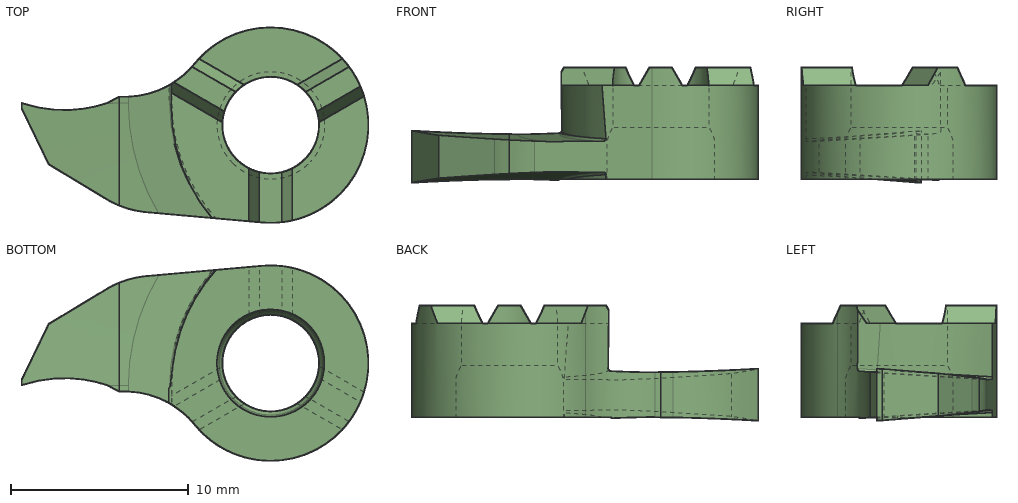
import cadquery as cq
import math

HEAD_TOP = 5.28
TOOTH_TOP = 6.3
ARM_MID_Z = 1.277
STOCK_BOTTOM = -0.58

HEAD_RADIUS = 5.5
BORE_RADIUS = 2.71
SEAT_RADIUS = 3.02
SEAT_TOP = 2.2
SEAT_MID_RADIUS = 2.9
SEAT_MID_Z = 2.57
SEAT_CONE_TOP = 2.95

TOOTH_ANGLES = (30, 150, 270)
TOOTH_ROOT_WIDTH = 2.44
TOOTH_TIP_WIDTH = 1.27

TANGENT_ANGLE = 264.9
NECK_ANGLE = 141.0
NECK_RADIUS = 5.01
FLANK_END_X = -7.12
FLANK_ARC_RADIUS = 5.2
FLANK_ARC_END = (-9.35, -4.1)
HEEL = (-12.48, -2.2)
TIP_X = -14.0
TIP_LOW_Y = 0.94
TIP_HIGH_Y = 1.25
RAKE_MID = (-11.85, 0.85)
RAKE_END = (-9.18, 1.25)
SPLIT_X = -8.52

ARM_FACE_POINT = (-8.05, 1.25, 2.52)
ARM_FACE_SLOPES = (0.012, 0.066)

SHOULDER_CENTRE = (4.2, 1.25)
SHOULDER_RADIUS = 9.75
SHOULDER_FILLET = 0.14
LAND_WIDTH = 2.45
RAMP_SLOPE = 0.051

BASE_MARGIN = 0.18

BIG = 39.0


def polar(radius, angle):
    """Point at a radius and an angle in degrees."""
    return (radius * math.cos(math.radians(angle)), radius * math.sin(math.radians(angle)))


def plan_stock():
    """Complete plan outline extruded from below the arm to the tooth tips."""
    flank_start = polar(HEAD_RADIUS, TANGENT_ANGLE)
    flank_slope = -1 / math.tan(math.radians(TANGENT_ANGLE))
    flank_end = (FLANK_END_X, flank_start[1] + flank_slope * (FLANK_END_X - flank_start[0]))
    neck_centre = polar(HEAD_RADIUS + NECK_RADIUS, NECK_ANGLE)
    neck_end = (neck_centre[0], neck_centre[1] - NECK_RADIUS)
    return (
        cq.Workplane("XY", origin=(0, 0, STOCK_BOTTOM))
        .moveTo(*flank_start)
        .lineTo(*flank_end)
        .radiusArc(FLANK_ARC_END, FLANK_ARC_RADIUS)
        .lineTo(*HEEL)
        .lineTo(TIP_X, TIP_LOW_Y)
        .lineTo(TIP_X, TIP_HIGH_Y)
        .threePointArc(RAKE_MID, RAKE_END)
        .lineTo(SPLIT_X, neck_end[1])
        .lineTo(*neck_end)
        .radiusArc(polar(HEAD_RADIUS, NECK_ANGLE), -NECK_RADIUS)
        .threePointArc((HEAD_RADIUS, 0), flank_start)
        .close()
        .extrude(TOOTH_TOP - STOCK_BOTTOM)
    )


def shoulder_section_plane():
    """Plane square to the arm face, with X leading away from the head and Y up from the face."""
    x_slope, y_slope = ARM_FACE_SLOPES
    x, y = SHOULDER_CENTRE
    point_x, point_y, point_z = ARM_FACE_POINT
    height = point_z + x_slope * (x - point_x) + y_slope * (y - point_y)
    along = cq.Vector(1, 0, x_slope)
    upward = cq.Vector(-x_slope, -y_slope, 1)
    return cq.Plane(origin=(x, y, height), xDir=along * -1, normal=upward.cross(along))


def upper_relief():
    """Space above the arm, bounded by the filleted shoulder, the land and the ramp."""
    land_end = SHOULDER_RADIUS + LAND_WIDTH
    section = (
        cq.Workplane(shoulder_section_plane())
        .moveTo(SHOULDER_RADIUS + SHOULDER_FILLET, 0)
        .lineTo(land_end, 0)
        .lineTo(BIG, RAMP_SLOPE * (BIG - land_end))
        .lineTo(BIG, BIG)
        .lineTo(SHOULDER_RADIUS, BIG)
        .lineTo(SHOULDER_RADIUS, SHOULDER_FILLET)
        .radiusArc((SHOULDER_RADIUS + SHOULDER_FILLET, 0), -SHOULDER_FILLET)
        .close()
    )
    straight_part = section.extrude(BIG)
    round_part = section.toPending().revolve(90, (0, 0), (0, 1))
    return straight_part.union(round_part)


def below_head():
    """Spare stock under the flat base of the head, on the head side of the shoulder."""
    reach = SHOULDER_RADIUS + BASE_MARGIN
    base = cq.Workplane("XY", origin=(*SHOULDER_CENTRE, STOCK_BOTTOM))
    round_part = base.circle(reach).extrude(-STOCK_BOTTOM)
    straight_part = base.rect(2 * reach, BIG).extrude(-STOCK_BOTTOM)
    upper_half = base.center(0, BIG / 2).rect(BIG, BIG).extrude(-STOCK_BOTTOM)
    return round_part.union(straight_part.intersect(upper_half))


def tooth_ridges():
    """Three radial ridges of trapezoid section, longer than the head radius."""
    ridges = cq.Workplane("XY")
    for angle in TOOTH_ANGLES:
        ridge = (
            cq.Workplane("YZ")
            .moveTo(-TOOTH_ROOT_WIDTH / 2, HEAD_TOP)
            .lineTo(TOOTH_ROOT_WIDTH / 2, HEAD_TOP)
            .lineTo(TOOTH_TIP_WIDTH / 2, TOOTH_TOP)
            .lineTo(-TOOTH_TIP_WIDTH / 2, TOOTH_TOP)
            .close()
            .extrude(2 * HEAD_RADIUS)
            .rotate((0, 0, 0), (0, 0, 1), angle)
        )
        ridges = ridges.add(ridge)
    return ridges.combine()


def between_teeth():
    """Everything above the head face except the tooth ridges."""
    layer = (
        cq.Workplane("XY", origin=(0, 0, HEAD_TOP))
        .rect(2 * BIG, 2 * BIG)
        .extrude(TOOTH_TOP - HEAD_TOP)
    )
    return layer.cut(tooth_ridges())


def screw_bore():
    """Through bore that widens over two short cones to a larger bore at the base."""
    return (
        cq.Workplane("XZ")
        .moveTo(0, STOCK_BOTTOM)
        .lineTo(SEAT_RADIUS, STOCK_BOTTOM)
        .lineTo(SEAT_RADIUS, SEAT_TOP)
        .lineTo(SEAT_MID_RADIUS, SEAT_MID_Z)
        .lineTo(BORE_RADIUS, SEAT_CONE_TOP)
        .lineTo(BORE_RADIUS, TOOTH_TOP)
        .lineTo(0, TOOTH_TOP)
        .close()
        .revolve(360, (0, 0), (0, 1))
    )


def tip_side():
    """Block on the tip side of the joint."""
    return cq.Workplane("XY").box(BIG, BIG, BIG).translate((SPLIT_X - BIG / 2, 0, 0))


def relieved_blank():
    """Plan stock with both sides of the arm relieved symmetrically."""
    relief = upper_relief()
    lower_relief = relief.mirror("XY", (0, 0, ARM_MID_Z))
    return plan_stock().cut(relief).cut(lower_relief)


def make_holder(blank):
    """Toothed head with its screw bore and the inner part of the arm."""
    return blank.cut(tip_side()).cut(below_head()).cut(between_teeth()).cut(screw_bore())


def make_cutting_tip(blank):
    """Curved pointed tip that butts against the end of the holder."""
    return blank.intersect(tip_side())


blank = relieved_blank()
holder = make_holder(blank)
cutting_tip = make_cutting_tip(blank)

result = cq.Compound.makeCompound([holder.val(), cutting_tip.val()])